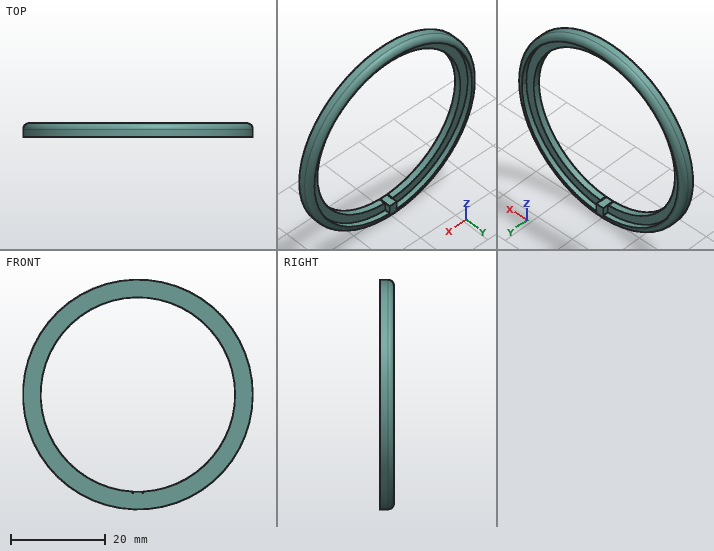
import cadquery as cq

outer_radius = 24.25
bore_radius = 20.45
overall_depth = 3.0
edge_round = 1.35
flange_thickness = overall_depth - edge_round
rim_inner_radius = outer_radius - flange_thickness

key_width = 2.05
bore_bottom = -bore_radius
key_bottom = -(rim_inner_radius + outer_radius - edge_round) / 2

slot_width = 0.1
slot_depth = 0.25

front_y = -overall_depth / 2


def make_ring():
    """Flange with a raised outer rim whose outer back edge is rounded."""
    flange_back_y = front_y + flange_thickness
    back_y = front_y + overall_depth
    section = (
        cq.Workplane("XY")
        .moveTo(bore_radius, front_y)
        .lineTo(outer_radius, front_y)
        .lineTo(outer_radius, flange_back_y)
        .radiusArc((outer_radius - edge_round, back_y), -edge_round)
        .lineTo(rim_inner_radius, back_y)
        .lineTo(rim_inner_radius, flange_back_y)
        .lineTo(bore_radius, flange_back_y)
        .close()
    )
    return section.revolve(360, (0, 0, 0), (0, 1, 0))


def full_depth_block(center_x, width, top, bottom):
    """Block through the full ring depth between two Z levels."""
    return (
        cq.Workplane("XY")
        .box(width, overall_depth, top - bottom)
        .translate((center_x, 0, (top + bottom) / 2))
    )


def make_key():
    """Radial key whose top follows the bore cylinder."""
    block = full_depth_block(0, key_width, bore_bottom + slot_depth, key_bottom)
    bore = cq.Workplane("XZ").circle(bore_radius).extrude(overall_depth, both=True)
    return block.cut(bore)


result = make_ring().union(make_key())

slot_offset = (key_width + slot_width) / 2
for side in (-1, 1):
    slot = full_depth_block(
        side * slot_offset,
        slot_width,
        bore_bottom + slot_depth,
        bore_bottom - slot_depth,
    )
    result = result.cut(slot)